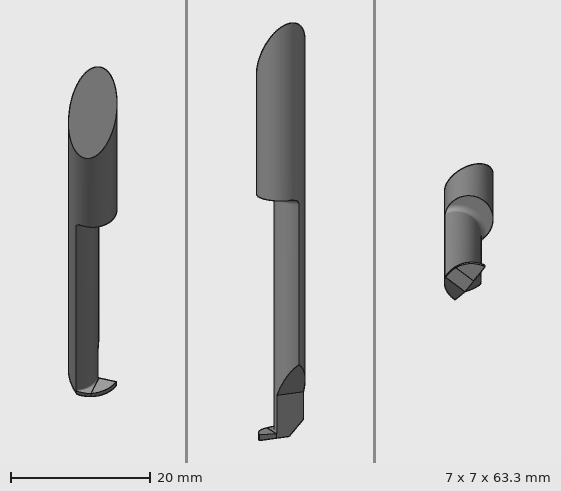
import cadquery as cq
import math

LENGTH = 63.3
DIAMETER = 7.0
RADIUS = DIAMETER / 2
END_ANGLE = 60.0

SHOULDER_Z = 36.6
LENS_EDGE_X = -1.4
NECK_FILLET = 0.9

LIP_TOP = 0.7
LIP_FRONT_RADIUS = 4.3
LIP_FILLET = 0.2
BACK_Y = 0.25
BACK_TOP = 6.45
HEEL_ANGLE = 45.0
HEEL_Z = 0.2

TIP_X = 0.8
TIP_TOP = 0.9

OVERSIZE = 2 * DIAMETER


def make_bar():
    """Full-length cylinder with its top end cut on a slope."""
    bar = cq.Workplane("XY").circle(RADIUS).extrude(LENGTH)
    low_side = LENGTH - DIAMETER * math.tan(math.radians(END_ANGLE))
    wedge = (
        cq.Workplane("YZ")
        .moveTo(-RADIUS, low_side)
        .lineTo(RADIUS, LENGTH)
        .lineTo(-RADIUS, LENGTH)
        .close()
        .extrude(RADIUS, both=True)
    )
    return bar.cut(wedge)


def neck_clearance():
    """Space beside the neck, rounded where the neck meets the shoulder and the lip."""
    height = SHOULDER_Z - LIP_TOP
    space = cq.Workplane("XY").workplane(offset=LIP_TOP).rect(2 * OVERSIZE, 2 * OVERSIZE).extrude(height)
    neck = (
        cq.Workplane("XY")
        .workplane(offset=LIP_TOP)
        .center(2 * LENS_EDGE_X, 0)
        .circle(RADIUS)
        .extrude(height)
    )
    right_side = cq.Workplane("XY").box(
        OVERSIZE, 2 * OVERSIZE, LENGTH, centered=(False, True, False)
    ).translate((LENS_EDGE_X, 0, 0))
    flared_neck = neck
    for base_z, fillet, direction in ((SHOULDER_Z, NECK_FILLET, -1), (LIP_TOP, LIP_FILLET, 1)):
        flared_neck = flared_neck.union(flare(base_z, fillet, direction))
    return space.cut(flared_neck).intersect(right_side)


def flare(base_z, fillet, direction):
    """Concave ring that blends the neck into a flat face at base_z."""
    profile = (
        cq.Workplane("XZ")
        .moveTo(0, base_z)
        .lineTo(RADIUS + fillet, base_z)
        .radiusArc((RADIUS, base_z + direction * fillet), direction * fillet)
        .lineTo(0, base_z + direction * fillet)
        .close()
    )
    return profile.revolve(360, (0, 0, 0), (0, 1, 0)).translate((2 * LENS_EDGE_X, 0, 0))


def back_relief():
    """Material removed behind the head: a vertical flat running out on a slope."""
    slope_run = OVERSIZE - BACK_Y
    slope_top = BACK_TOP + slope_run * math.tan(math.radians(END_ANGLE))
    return (
        cq.Workplane("YZ")
        .moveTo(BACK_Y, 0)
        .lineTo(BACK_Y, BACK_TOP)
        .lineTo(OVERSIZE, slope_top)
        .lineTo(OVERSIZE, 0)
        .close()
        .extrude(OVERSIZE, both=True)
    )


def heel_relief():
    """Sloped relief under the back of the neck."""
    slope = math.tan(math.radians(HEEL_ANGLE))
    toe_x = LENS_EDGE_X + HEEL_Z / slope
    return (
        cq.Workplane("XZ")
        .moveTo(toe_x, 0)
        .lineTo(toe_x - OVERSIZE, OVERSIZE * slope)
        .lineTo(toe_x - OVERSIZE, 0)
        .close()
        .extrude(OVERSIZE, both=True)
    )


def lip_blank(height):
    """Lip outline: a flattened front arc, closed along the back of the head."""
    lens_edge_y = -math.sqrt(RADIUS**2 - LENS_EDGE_X**2)
    corner_x = math.sqrt(RADIUS**2 - BACK_Y**2)
    return (
        cq.Workplane("XY")
        .moveTo(LENS_EDGE_X, BACK_Y)
        .lineTo(LENS_EDGE_X, lens_edge_y)
        .radiusArc((corner_x, BACK_Y), -LIP_FRONT_RADIUS)
        .close()
        .extrude(height)
    )


def lip_clearance():
    """Space in front of the lip, outside its outline."""
    surround = cq.Workplane("XY").box(
        OVERSIZE, 2 * OVERSIZE, LIP_TOP, centered=(False, True, False)
    ).translate((LENS_EDGE_X, 0, 0))
    return surround.cut(lip_blank(LIP_TOP))


def make_tip():
    """Cutting tip: outer segment of the half-round lip, its top rising towards the corner."""
    side_profile = (
        cq.Workplane("XZ")
        .moveTo(TIP_X, 0)
        .lineTo(TIP_X, LIP_TOP)
        .lineTo(RADIUS, TIP_TOP)
        .lineTo(RADIUS, 0)
        .close()
        .extrude(OVERSIZE, both=True)
    )
    return lip_blank(TIP_TOP).intersect(side_profile)


tip = make_tip()

holder = make_bar()
for removed in (neck_clearance(), lip_clearance(), back_relief(), heel_relief(), tip):
    holder = holder.cut(removed)

result = cq.Compound.makeCompound([holder.val(), tip.val()])